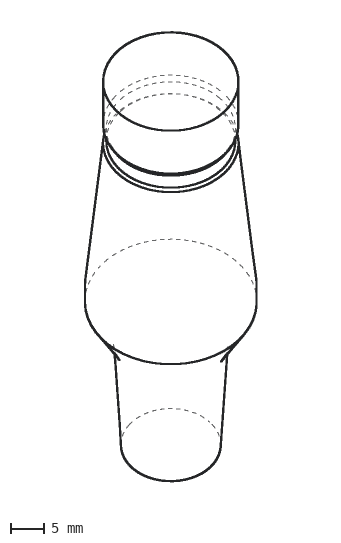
import cadquery as cq

neck_bottom_z = 22.2
neck_top_z = 23.2
belt_bottom_z = 31.5
belt_top_z = 35.1
groove_bottom_z = 66.5
groove_floor_bottom_z = 67.0
groove_floor_top_z = 69.6
groove_top_z = 70.6
total_height = 80.0

tip_diameter = 15.1
neck_bottom_diameter = 17.3
neck_top_diameter = 17.8
belt_diameter = 26.0
head_diameter = 20.5
groove_diameter = 19.5


def station(diameter, height):
    """Profile point in the XZ plane at the given diameter and height."""
    return (diameter / 2, height)


profile = (
    cq.Workplane("XZ")
    .lineTo(*station(tip_diameter, 0))
    .lineTo(*station(neck_bottom_diameter, neck_bottom_z))
    .lineTo(*station(neck_top_diameter, neck_top_z))
    .lineTo(*station(belt_diameter, belt_bottom_z))
    .lineTo(*station(belt_diameter, belt_top_z))
    .lineTo(*station(head_diameter, groove_bottom_z))
    .lineTo(*station(groove_diameter, groove_floor_bottom_z))
    .lineTo(*station(groove_diameter, groove_floor_top_z))
    .lineTo(*station(head_diameter, groove_top_z))
    .lineTo(*station(head_diameter, total_height))
    .lineTo(0, total_height)
    .close()
)

result = profile.revolve(360, (0, 0, 0), (0, 1, 0))